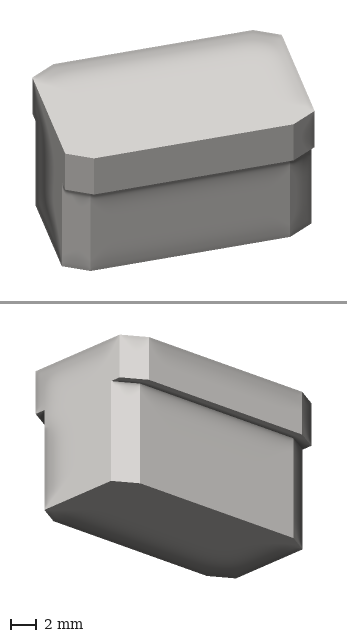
import cadquery as cq
import math

length = 20.0
head_width = 12.0
side_overhang = 1.0
total_height = 12.0
head_height = 3.6
corner_length = 2.0
corner_angle = 30.0

stem_width = head_width - 2 * side_overhang
stem_height = total_height - head_height
corner_width = corner_length * math.tan(math.radians(corner_angle))


def cut_corner_block(width, height, base_z):
    """Upright block, centred in X and Y, with its four vertical corners cut off."""
    side_x = width / 2
    end_y = length / 2
    end_x = side_x - corner_width
    side_y = end_y - corner_length
    outline = [
        (end_x, end_y),
        (side_x, side_y),
        (side_x, -side_y),
        (end_x, -end_y),
        (-end_x, -end_y),
        (-side_x, -side_y),
        (-side_x, side_y),
        (-end_x, end_y),
    ]
    return cq.Workplane("XY").workplane(offset=base_z).polyline(outline).close().extrude(height)


stem = cut_corner_block(stem_width, stem_height, 0)
head = cut_corner_block(head_width, head_height, stem_height)

result = stem.union(head)